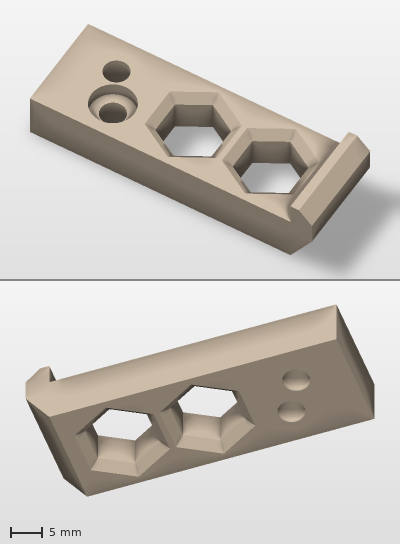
import cadquery as cq
import math

length = 53.0
width = 18.0
height = 12.5
lip_height = 4.0
lip_start = 48.95
lip_bevel = 2.45
nose_bottom = 6.05
body_height = height - lip_height

hole_diameter = 4.5
plain_hole_center = (9.0, 12.0)
bored_hole_center = (12.0, 6.0)
counterbore_diameter = 8.0
counterbore_depth = 2.5

hex_across_flats = 10.55
hex_bevel = 1.5
hex_first_x = 25.25
hex_spacing = 14.5
hex_count = 2


def corner_diameter(across_flats):
    """Diameter of the circle through the corners of a hexagon."""
    return across_flats / math.cos(math.pi / 6)


def hexagon(center_x, across_flats, z):
    """Hexagon on the bar centreline with corners pointing along Y."""
    center = cq.Workplane("XY", origin=(center_x, width / 2, z))
    return center.transformed(rotate=(0, 0, 90)).polygon(6, corner_diameter(across_flats))


def hex_mouth(center_x, face_z, inward):
    """Sloping mouth at one face; inward is +1 or -1 along Z, into the bar."""
    wide_across_flats = hex_across_flats + 2 * hex_bevel
    wide = hexagon(center_x, wide_across_flats, face_z)
    narrow = wide.workplane(offset=inward * hex_bevel).polygon(6, corner_diameter(hex_across_flats))
    return narrow.loft(ruled=True)


def hex_window(center_x):
    """Cutter for one through window, bevelled at both faces."""
    shaft = hexagon(center_x, hex_across_flats, 0).extrude(body_height)
    top_mouth = hex_mouth(center_x, body_height, -1)
    bottom_mouth = hex_mouth(center_x, 0, 1)
    return shaft.union(top_mouth).union(bottom_mouth)


def round_cutter(center, diameter, bottom):
    """Vertical cylinder from the given height up to the top face."""
    plane = cq.Workplane("XY", origin=(*center, bottom))
    return plane.circle(diameter / 2).extrude(body_height - bottom)


side_profile = [
    (0, 0),
    (lip_start, 0),
    (length, nose_bottom),
    (length, height - lip_bevel),
    (length - lip_bevel, height),
    (lip_start, height),
    (lip_start, body_height),
    (0, body_height),
]
result = cq.Workplane("XZ").polyline(side_profile).close().extrude(-width)

for hole_center in (plain_hole_center, bored_hole_center):
    result = result.cut(round_cutter(hole_center, hole_diameter, 0))
counterbore_floor = body_height - counterbore_depth
result = result.cut(round_cutter(bored_hole_center, counterbore_diameter, counterbore_floor))

for index in range(hex_count):
    result = result.cut(hex_window(hex_first_x + index * hex_spacing))